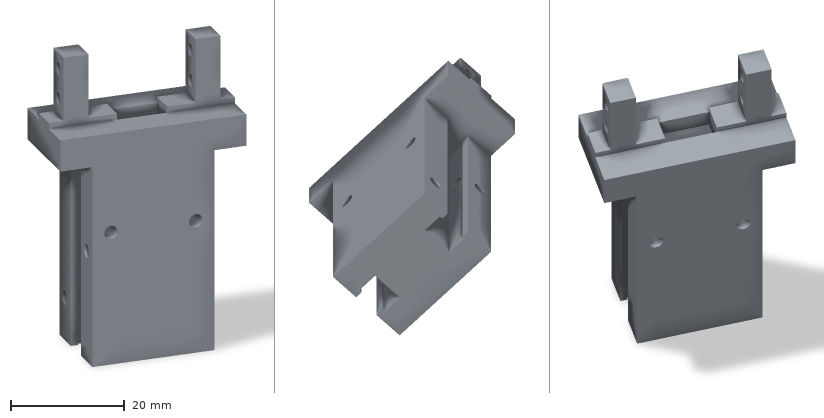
import cadquery as cq

total_height = 57.0
body_thickness = 16.4
body_width = 22.95
flange_width = 35.0
flange_bottom = 37.9
flange_top = 43.85

channel_width = 5.0
channel_floor = 40.65

slot_mouth_width = channel_width
slot_lip = 1.3
slot_undercut = 0.55
slot_depth = 5.35

mount_hole_diameter = 2.5
mount_hole_y = 8.0
mount_hole_z = 25.0

port_diameter = 2.5
port_depth = 5.0
port_x = 5.5
lower_port_z = 8.0
upper_port_z = 21.0

jaw_inner_y = 4.75
jaw_outer_y = flange_width / 2
jaw_foot_top = 45.0
finger_inner_y = 10.1
finger_thickness = 4.7
finger_outer_y = finger_inner_y + finger_thickness
finger_hole_diameter = 2.2
lower_finger_hole_z = 48.3
upper_finger_hole_z = 54.05


def centred_box(size_x, size_y, bottom, top):
    """Block centred on the Z axis, between two heights."""
    return cq.Workplane("XY").workplane(offset=bottom).rect(size_x, size_y).extrude(top - bottom)


def sensor_slot(side):
    """T-slot cutter for the side at -Y (side = -1) or +Y (side = 1)."""
    half_mouth = slot_mouth_width / 2
    half_inner = half_mouth + slot_undercut
    face_y = side * body_width / 2
    lip_y = face_y - side * slot_lip
    floor_y = face_y - side * slot_depth
    outline = [
        (-half_mouth, face_y),
        (-half_mouth, lip_y),
        (-half_inner, lip_y),
        (-half_inner, floor_y),
        (half_inner, floor_y),
        (half_inner, lip_y),
        (half_mouth, lip_y),
        (half_mouth, face_y),
    ]
    return cq.Workplane("XY").polyline(outline).close().extrude(flange_bottom)


def make_housing():
    """Body with a wide flange, guide channel, sensor slots, mounting holes and ports."""
    body = centred_box(body_thickness, body_width, 0, flange_bottom)
    flange = centred_box(body_thickness, flange_width, flange_bottom, flange_top)
    channel = centred_box(channel_width, flange_width, channel_floor, flange_top)
    housing = body.union(flange).cut(channel)

    for side in (-1, 1):
        housing = housing.cut(sensor_slot(side))

    mount_holes = (
        cq.Workplane("YZ")
        .pushPoints([(-mount_hole_y, mount_hole_z), (mount_hole_y, mount_hole_z)])
        .circle(mount_hole_diameter / 2)
        .extrude(body_thickness / 2, both=True)
    )
    ports = (
        cq.Workplane("XZ", origin=(0, -body_width / 2, 0))
        .pushPoints([(-port_x, lower_port_z), (port_x, upper_port_z)])
        .circle(port_diameter / 2)
        .extrude(-port_depth)
    )
    return housing.cut(mount_holes).cut(ports)


def make_jaw(side):
    """Sliding jaw with an upright finger, at -Y (side = -1) or +Y (side = 1)."""
    outline = [
        (side * jaw_inner_y, channel_floor),
        (side * jaw_outer_y, channel_floor),
        (side * jaw_outer_y, jaw_foot_top),
        (side * finger_outer_y, jaw_foot_top),
        (side * finger_outer_y, total_height),
        (side * finger_inner_y, total_height),
        (side * finger_inner_y, jaw_foot_top),
        (side * jaw_inner_y, jaw_foot_top),
    ]
    jaw = cq.Workplane("YZ").polyline(outline).close().extrude(channel_width / 2, both=True)
    finger_holes = (
        cq.Workplane("XZ", origin=(0, side * (finger_inner_y + finger_outer_y) / 2, 0))
        .pushPoints([(0, lower_finger_hole_z), (0, upper_finger_hole_z)])
        .circle(finger_hole_diameter / 2)
        .extrude(finger_thickness / 2, both=True)
    )
    return jaw.cut(finger_holes)


housing = make_housing()
jaws = [make_jaw(side) for side in (-1, 1)]

result = cq.Compound.makeCompound([housing.val(), *[jaw.val() for jaw in jaws]])